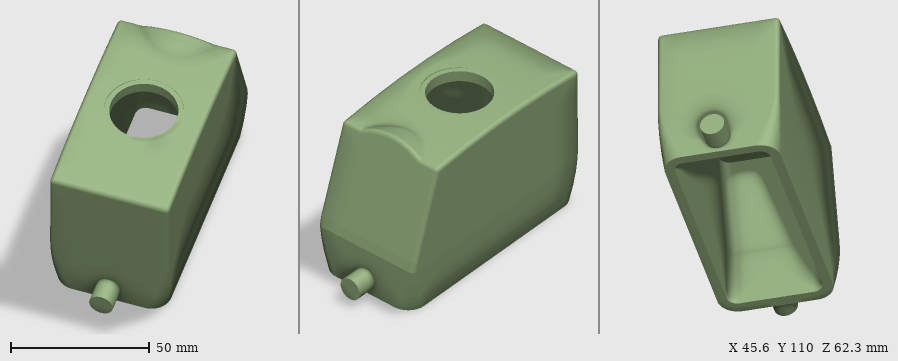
import cadquery as cq
import math

half_width = 22.8
half_width_skirt = 22.2
half_width_base = 21.6
half_length = 46.5
skirt_height = 6.6
bend_start = 19.2
shoulder = 23.1
shoulder_back = 45.4
back_slope = 0.35
front_top = 45.9
crown_y = -5.9
crown_height = 60.9
front_edge_height = 58.5
back_edge_height = 58.8
edge_radius = 1.6

base_radius = 7.6
skirt_radius = 5.2
middle_height = 13.2
middle_half_width = 22.6
middle_radius = 3.2
bend_radius = 2.1

wall = 3.6
ceiling_height = 56.1
cavity_radius = 4.0
entry_radius = 12.5
seat_radius = 14.5
seat_depth = 0.3

bump_height = 62.6
bump_radius = 29.2
bump_tilt = 16.0
bump_length = 22.0
bump_edge_radius = 1.5
bump_blend_radius = 2.4

pin_radius = 4.5
pin_height = 6.2
pin_reach = 55.0
pin_root = half_length - wall / 2


def back_wall(height):
    """Y position of the leaning wall at a height above the shoulder."""
    return shoulder_back - back_slope * (height - shoulder)


def front_wall(height):
    """Distance of the slightly drafted -Y wall from the origin at a height."""
    return half_length - (half_length - front_top) * height / front_edge_height


def section_loft(sections, ruled):
    """Loft through rounded rectangles given as (height, half width, +Y wall, corner radius)."""
    wires = []
    for height, half_x, back, radius in sections:
        front = front_wall(height)
        outline = (
            cq.Workplane()
            .box(2 * half_x, front + back, 1.1, centered=(True, True, False))
            .edges("|Z").fillet(radius)
            .faces("<Z").wires().val()
        )
        wires.append(outline.translate(cq.Vector(0, (back - front) / 2, height)))
    return cq.Workplane(cq.Solid.makeLoft(wires, ruled))


def lower_body():
    base = (0, half_width_base, half_length, base_radius)
    skirt = (skirt_height, half_width_skirt, half_length, skirt_radius)
    middle = (middle_height, middle_half_width, half_length, middle_radius)
    bend = (bend_start, half_width, half_length, bend_radius)
    top = (shoulder, half_width, shoulder_back, edge_radius)
    body = section_loft([base, skirt], True)
    body = body.union(section_loft([skirt, middle, bend], False))
    return body.union(section_loft([bend, top], True))


def upper_body():
    body = (
        cq.Workplane("YZ")
        .moveTo(-front_wall(shoulder), shoulder)
        .lineTo(-front_top, front_edge_height)
        .threePointArc((crown_y, crown_height), (back_wall(back_edge_height), back_edge_height))
        .lineTo(shoulder_back, shoulder)
        .close()
        .extrude(half_width, both=True)
    )
    return body.edges("not <Z").fillet(edge_radius)


def thumb_bump():
    """Tilted cylinder cap, trimmed flush with the leaning wall."""
    tilt = math.radians(bump_tilt)
    tip = back_wall(bump_height)
    drop = bump_radius / math.cos(tilt)
    axis = cq.Vector(0, -math.cos(tilt), -math.sin(tilt))
    start = cq.Vector(0, tip, bump_height - drop) - axis * bump_length
    cylinder = cq.Workplane(cq.Solid.makeCylinder(bump_radius, 3 * bump_length, start, axis))
    floor = back_edge_height - 2 * edge_radius
    ceiling = bump_height + edge_radius
    trim = (
        cq.Workplane("YZ")
        .polyline([
            (back_wall(floor), floor),
            (back_wall(ceiling), ceiling),
            (tip - bump_length, ceiling),
            (tip - bump_length, floor),
        ])
        .close()
        .extrude(half_width - edge_radius, both=True)
    )
    bump = cylinder.intersect(trim)
    return bump.edges(">Z").fillet(bump_edge_radius)


def cavity():
    half_x = half_width_base - wall
    return (
        cq.Workplane("YZ")
        .polyline([
            (wall - half_length, 0),
            (wall - front_top, ceiling_height),
            (back_wall(ceiling_height) - wall, ceiling_height),
            (shoulder_back - wall, shoulder),
            (shoulder_back - wall, 0),
        ])
        .close()
        .extrude(half_x, both=True)
        .edges("not(|X or |Y)").fillet(cavity_radius)
    )


def cable_entry():
    entry = cq.Workplane(origin=(0, crown_y, shoulder)).circle(entry_radius).extrude(bump_height)
    seat = cq.Workplane(origin=(0, crown_y, crown_height - seat_depth)).circle(seat_radius).extrude(wall)
    return entry.union(seat)


def locking_pin(side):
    return (
        cq.Workplane("XZ", origin=(0, side * pin_root, pin_height))
        .circle(pin_radius)
        .extrude(-side * (pin_reach - pin_root))
    )


def hood():
    """Outer shape, with the foot of the thumb bump blended into the crown."""
    body = lower_body().union(upper_body()).union(thumb_bump())
    foot_y = back_wall(bump_height) - bump_edge_radius
    foot = cq.selectors.BoxSelector(
        (-1.1, foot_y - bump_length / 2, back_edge_height),
        (1.1, foot_y - bump_edge_radius, bump_height),
    )
    return body.edges(foot).fillet(bump_blend_radius)


result = hood().cut(cavity()).cut(cable_entry())
for side in (-1, 1):
    result = result.union(locking_pin(side))